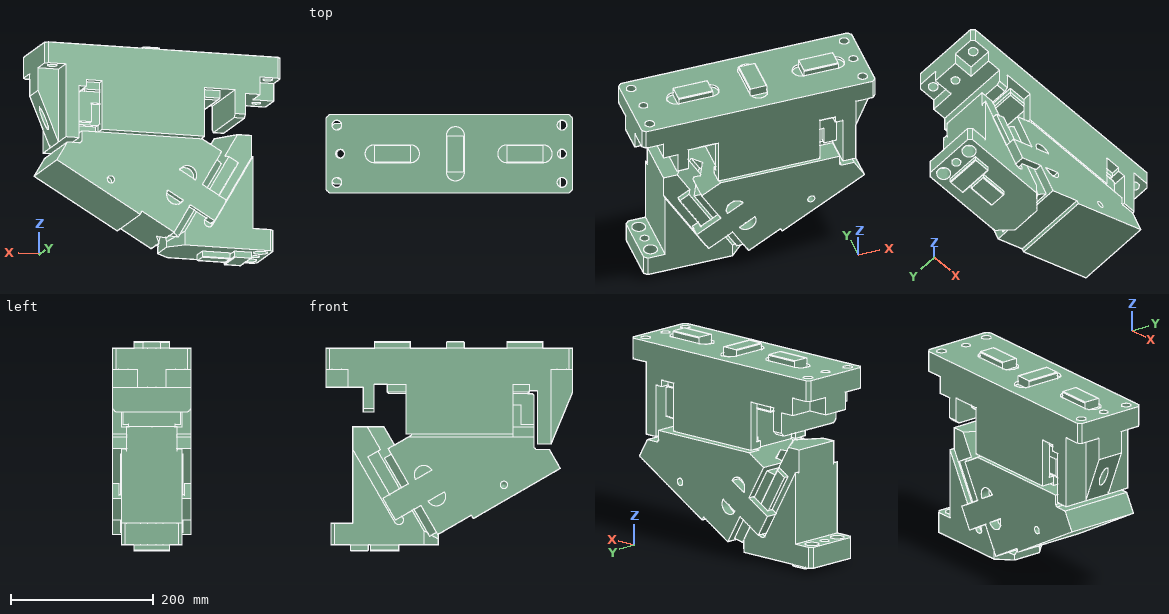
import cadquery as cq
import math


OUTER_HALF = 55.03
COLUMN_HALF = 42.5
MOUNT_Z = 275.3
SLOPE = 30.0
SIN = math.sin(math.radians(SLOPE))
COS = math.cos(math.radians(SLOPE))
TAN = math.tan(math.radians(SLOPE))

RIDGE_X = -76.5
RIDGE_Z = 139.7

KEY_LENGTH = 50.5
KEY_WIDTH = 25.2
KEY_CHAMFER = 1.0
TOP_KEY_HEIGHT = 9.0
BOTTOM_KEY_HEIGHT = 8.5
SLOT_LENGTH = 76.0
SLOT_DEPTH = 4.0
TOP_KEYS = [(-79.7, 0), (8.5, 90), (106.0, 0)]
BOTTOM_KEYS = [(-126.0, 90, KEY_LENGTH), (-90.5, 0, 40.0)]

PLATE_HALF = 172.5
PLATE_BOTTOM_Z = 245.3
PLATE_CHAMFER = 5.0
BRACKET_HALF = 20.0
BRACKET_LENGTH = 30.7
BLOCK_BOTTOM_Z = 220.0
LEFT_RIB_X = (-120.5, -105.2)
LEFT_RIB_BOTTOM_Z = 185.5
SIDE_CEILING_Z = 224.5
CORE_CEILING_Z = 215.3
CORE_X = (-87.0, 112.0)
CHEEK_X = (-60.7, 89.5)
CHEEK_BOTTOM_Z = 155.0
LIP_TOP_Z = 165.0
LIP_INNER_HALF = 35.2
RIGHT_RIB_X = (123.0, 142.5)
RIGHT_RIB_BOTTOM_Z = 140.8
GUSSET_SHOULDER_Z = 213.0
LINER_CHAMFER = 2.5
PLATE_HOLES = [
    (-157.3, 40.0, 13.5),
    (-153.0, 0, 12.0),
    (-157.3, -40.0, 13.5),
    (157.5, 40.0, 13.5),
    (157.5, 0, 12.5),
    (157.5, -40.0, 13.5),
]

DRIVER_X = (-165.5, -15.2)
COLUMN_X = -135.2
FLANGE_TOP_Z = 30.5
COLUMN_TOP_Z = 165.3
FLANGE_CHAMFER = 5.0
TOE_CHAMFER = 20.5
COLUMN_NECK_HALF = 35.2
GROOVE_N = (-53.8, -40.7)
RAIL_START = -4.0
GROOVE_END = 100.5
FLANGE_HOLES_X = -151.0
FLANGE_HOLES = [(-25.5, 19.3), (0, 12.5), (25.5, 19.3)]

LEG_N = -10.5
LEG_END = 139.0
FOOT_END = 144.5
FOOT_START_N = 43.8
TIP_N = 184.5
SHOULDER_Z = 150.8
LEDGE_Z = 133.5
LEDGE_CHAMFER = 2.8
SLIDER_RIGHT_X = 118.7
STEM_LEFT_X = -53.0
TAIL_HALF = 24.0
HEAD_BOTTOM_Z = 168.5
HEAD_TOP_Z = 211.5
HEAD_HALF = 40.0
UNDERCUT_HALF = 32.5
HEAD_CHAMFER = 2.0
HEAD_RECESS_X = (76.0, 100.5)
HEAD_RECESS_TOP_Z = 195.3
VEE_HALF = 43.5
VEE_START = 9.0
VEE_END = 135.2
RELIEF_HALF = 14.0
RELIEF_HEIGHT = 11.0
RELIEF_LENGTH = 25.0
HOOK_START = 56.5
HOOK_WIDTH = 35.2
HOOK_INNER_HALF = 45.5
TOE_INNER_HALF = 36.0
TOE_N = (-51.5, -41.5)
POCKET_N = 14.5
POCKET_RADIUS = 13.0
POCKET_DEPTH = 13.8
SIDE_HOLE = (76.5, 84.0)
SIDE_HOLE_DIAMETER = 10.5
SIDE_HOLE_DEPTH = 13.8

SPAN = 207.0


def ramp_point(n, down):
    """X and Z of a point n above the ridge line and a distance down along it."""
    return (RIDGE_X + n * COS + down * SIN, RIDGE_Z + n * SIN - down * COS)


def slab(points, y_from, y_to):
    """An X-Z outline extruded from y_from to y_to."""
    return cq.Workplane("XZ", origin=(0, y_from, 0)).polyline(points).close().extrude(y_from - y_to)


def symmetric_slab(points, half):
    return slab(points, -half, half)


def ramp_slab(n_range, down_range, y_from, y_to):
    """A block aligned with the ramp."""
    corners = [
        ramp_point(n_range[0], down_range[0]),
        ramp_point(n_range[1], down_range[0]),
        ramp_point(n_range[1], down_range[1]),
        ramp_point(n_range[0], down_range[1]),
    ]
    return slab(corners, y_from, y_to)


def box(x_range, y_range, z_range):
    size = [r[1] - r[0] for r in (x_range, y_range, z_range)]
    return cq.Workplane("XY").box(*size, centered=False).translate((x_range[0], y_range[0], z_range[0]))


def ramp_prism(section, down_from, down_to):
    """A (y, n) section swept along the ramp."""
    x, z = ramp_point(0, down_to)
    plane = cq.Plane(origin=(x, 0, z), xDir=(0, -1, 0), normal=(-SIN, 0, COS))
    return cq.Workplane(plane).polyline(section).close().extrude(down_to - down_from)


def on_both_sides(shape):
    return shape.union(shape.mirror("XZ"))


def locating_key(x, turn, length, z_from, height, outer_face):
    key = cq.Workplane("XY").box(length, KEY_WIDTH, height, centered=(True, True, False))
    key = key.faces(outer_face).edges("|X").chamfer(KEY_CHAMFER)
    return key.rotate((0, 0, 0), (0, 0, 1), turn).translate((x, 0, z_from))


def make_holder():
    plate = box((-PLATE_HALF, PLATE_HALF), (-OUTER_HALF, OUTER_HALF), (PLATE_BOTTOM_Z, MOUNT_Z))
    holder = plate.edges("|Z").chamfer(PLATE_CHAMFER)

    bracket_x = -PLATE_HALF + BRACKET_LENGTH
    body = [
        (bracket_x, PLATE_BOTTOM_Z),
        (bracket_x, BLOCK_BOTTOM_Z),
        (LEFT_RIB_X[1], BLOCK_BOTTOM_Z),
        (LEFT_RIB_X[1], SIDE_CEILING_Z),
        (CORE_X[1], SIDE_CEILING_Z),
        (CORE_X[1], CORE_CEILING_Z),
        (RIGHT_RIB_X[0], CORE_CEILING_Z),
        (RIGHT_RIB_X[0], RIGHT_RIB_BOTTOM_Z),
        (RIGHT_RIB_X[1], RIGHT_RIB_BOTTOM_Z),
        (RIGHT_RIB_X[1], PLATE_BOTTOM_Z),
    ]
    holder = holder.union(symmetric_slab(body, OUTER_HALF))

    rib = box(LEFT_RIB_X, (-OUTER_HALF, OUTER_HALF), (LEFT_RIB_BOTTOM_Z, PLATE_BOTTOM_Z))
    holder = holder.union(rib.faces("<Z").edges("|X").chamfer(PLATE_CHAMFER))

    bracket = box((-PLATE_HALF, bracket_x), (-BRACKET_HALF, BRACKET_HALF), (BLOCK_BOTTOM_Z, PLATE_BOTTOM_Z))
    gusset = [
        (RIGHT_RIB_X[1], PLATE_BOTTOM_Z),
        (PLATE_HALF, PLATE_BOTTOM_Z),
        (PLATE_HALF, GUSSET_SHOULDER_Z),
        (RIGHT_RIB_X[1], RIGHT_RIB_BOTTOM_Z),
    ]
    holder = holder.union(bracket).union(symmetric_slab(gusset, BRACKET_HALF))

    lip = box(CHEEK_X, (-COLUMN_HALF, -LIP_INNER_HALF), (CHEEK_BOTTOM_Z, LIP_TOP_Z))
    cheek = box(CHEEK_X, (-OUTER_HALF, -COLUMN_HALF), (CHEEK_BOTTOM_Z, PLATE_BOTTOM_Z))
    holder = holder.union(on_both_sides(cheek.union(lip)))

    core = box(CORE_X, (-COLUMN_HALF, COLUMN_HALF), (HEAD_TOP_Z, PLATE_BOTTOM_Z))
    holder = holder.union(core.faces("<Z").edges().chamfer(LINER_CHAMFER))

    for x, y, diameter in PLATE_HOLES:
        drill = cq.Workplane("XY").center(x, y).circle(diameter / 2).extrude(MOUNT_Z)
        holder = holder.cut(drill)

    for x, turn in TOP_KEYS:
        floor_z = MOUNT_Z - SLOT_DEPTH
        slot = cq.Workplane("XY").slot2D(SLOT_LENGTH, KEY_WIDTH, turn).extrude(SLOT_DEPTH)
        key = locating_key(x, turn, KEY_LENGTH, floor_z, SLOT_DEPTH + TOP_KEY_HEIGHT, ">Z")
        holder = holder.cut(slot.translate((x, 0, floor_z))).union(key)
    return holder


def make_driver():
    flange = box(DRIVER_X, (-COLUMN_HALF, COLUMN_HALF), (0, FLANGE_TOP_Z))
    flange = flange.edges("|Z and <X").chamfer(FLANGE_CHAMFER)
    column = box((COLUMN_X, DRIVER_X[1]), (-COLUMN_HALF, COLUMN_HALF), (0, COLUMN_TOP_Z))
    driver = flange.union(column)
    driver = driver.edges("|Z and >X").chamfer(TOE_CHAMFER)

    above_roof = [
        (0, 0),
        (SPAN, -SPAN * TAN),
        (SPAN, SPAN),
        (-SPAN, SPAN),
        (-SPAN, -SPAN * TAN),
    ]
    driver = driver.cut(ramp_prism(above_roof, -SPAN, SPAN))

    relief = ramp_slab((GROOVE_N[0], SPAN), (-SPAN, RAIL_START), COLUMN_NECK_HALF, OUTER_HALF)
    groove_radius = (GROOVE_N[1] - GROOVE_N[0]) / 2
    groove_centre_n = GROOVE_N[0] + groove_radius
    groove_round = GROOVE_END - groove_radius
    groove = ramp_slab(GROOVE_N, (RAIL_START, groove_round), COLUMN_NECK_HALF, OUTER_HALF)
    x, z = ramp_point(groove_centre_n, groove_round)
    groove_tip = cq.Workplane("XZ", origin=(x, OUTER_HALF, z)).circle(groove_radius)
    groove_tip = groove_tip.extrude(OUTER_HALF - COLUMN_NECK_HALF)
    driver = driver.cut(on_both_sides(relief.union(groove).union(groove_tip)))

    for y, diameter in FLANGE_HOLES:
        drill = cq.Workplane("XY").center(FLANGE_HOLES_X, y).circle(diameter / 2).extrude(FLANGE_TOP_Z)
        driver = driver.cut(drill)

    for x, turn, length in BOTTOM_KEYS:
        driver = driver.union(locating_key(x, turn, length, -BOTTOM_KEY_HEIGHT, BOTTOM_KEY_HEIGHT, "<Z"))
    return driver


def upper_end_x(z):
    """X of the slider's inclined upper end at height z."""
    return RIDGE_X + (z - RIDGE_Z) / TAN


def make_slider():
    end_x, end_z = ramp_point(TIP_N, 0)
    tip_x = end_x + (end_z - LEDGE_Z) * TAN
    body = [
        ramp_point(LEG_N, 0),
        (upper_end_x(SHOULDER_Z), SHOULDER_Z),
        (SLIDER_RIGHT_X, SHOULDER_Z),
        (SLIDER_RIGHT_X, LEDGE_Z + LEDGE_CHAMFER),
        (SLIDER_RIGHT_X + LEDGE_CHAMFER, LEDGE_Z),
        (tip_x, LEDGE_Z),
        ramp_point(TIP_N, FOOT_END),
        ramp_point(FOOT_START_N, FOOT_END),
        ramp_point(FOOT_START_N, LEG_END),
        ramp_point(LEG_N, LEG_END),
    ]
    slider = symmetric_slab(body, OUTER_HALF)

    stem = [
        (upper_end_x(SHOULDER_Z), SHOULDER_Z),
        (STEM_LEFT_X, RIDGE_Z + (STEM_LEFT_X - RIDGE_X) * TAN),
        (STEM_LEFT_X, LIP_TOP_Z),
        (CHEEK_X[1], LIP_TOP_Z),
        (CHEEK_X[1], SHOULDER_Z),
    ]
    tail = box((CHEEK_X[1], SLIDER_RIGHT_X), (-TAIL_HALF, TAIL_HALF), (SHOULDER_Z, LIP_TOP_Z))
    slider = slider.union(symmetric_slab(stem, LIP_INNER_HALF)).union(tail)

    head_x = (STEM_LEFT_X, SLIDER_RIGHT_X)
    undercut = box(head_x, (-UNDERCUT_HALF, UNDERCUT_HALF), (LIP_TOP_Z, HEAD_BOTTOM_Z))
    head = box(head_x, (-HEAD_HALF, HEAD_HALF), (HEAD_BOTTOM_Z, HEAD_TOP_Z))
    head = head.edges(">X and >Z").chamfer(HEAD_CHAMFER)
    recess = box(HEAD_RECESS_X, (UNDERCUT_HALF, HEAD_HALF), (HEAD_BOTTOM_Z, HEAD_RECESS_TOP_Z))
    head = head.cut(on_both_sides(recess))
    slider = slider.union(undercut).union(head)

    roof_gap = (LEG_N + VEE_HALF * TAN) * COS
    foot = (VEE_HALF - roof_gap * SIN, LEG_N - roof_gap * COS)
    bearing = [
        (VEE_HALF, LEG_N),
        foot,
        (-foot[0], foot[1]),
        (-VEE_HALF, LEG_N),
    ]
    slider = slider.union(ramp_prism(bearing, VEE_START, VEE_END))
    roof = [
        (0, 0),
        (OUTER_HALF, -OUTER_HALF * TAN),
        (-OUTER_HALF, -OUTER_HALF * TAN),
    ]
    slider = slider.cut(ramp_prism(roof, -SPAN, SPAN))

    side = (RELIEF_HALF, -RELIEF_HALF * TAN)
    shoulder = (side[0] + RELIEF_HEIGHT * SIN, side[1] + RELIEF_HEIGHT * COS)
    relief = [
        (0, 0),
        side,
        shoulder,
        (0, RELIEF_HEIGHT / COS),
        (-shoulder[0], shoulder[1]),
        (-side[0], side[1]),
    ]
    slider = slider.cut(ramp_prism(relief, -RELIEF_LENGTH, RELIEF_LENGTH))

    hook_span = (HOOK_START, HOOK_START + HOOK_WIDTH)
    arm = ramp_slab((TOE_N[0], LEG_N), hook_span, HOOK_INNER_HALF, OUTER_HALF)
    toe = ramp_slab(TOE_N, hook_span, TOE_INNER_HALF, OUTER_HALF)
    slider = slider.union(on_both_sides(arm.union(toe)))

    keep = ramp_slab((-SPAN, SPAN), hook_span, 0, OUTER_HALF)
    for side_down in hook_span:
        x, z = ramp_point(POCKET_N, side_down)
        disc = cq.Workplane("XZ", origin=(x, OUTER_HALF, z)).circle(POCKET_RADIUS).extrude(POCKET_DEPTH)
        slider = slider.cut(on_both_sides(disc.cut(keep)))

    x, z = SIDE_HOLE
    radius = SIDE_HOLE_DIAMETER / 2
    drill = [
        (0, 0),
        (radius, 0),
        (radius, SIDE_HOLE_DEPTH),
        (0, SIDE_HOLE_DEPTH + radius * TAN),
    ]
    side_hole = cq.Workplane("XY", origin=(x, -OUTER_HALF, z)).polyline(drill).close()
    side_hole = side_hole.revolve(360, (0, 0), (0, 1))
    return slider.cut(on_both_sides(side_hole))


holder = make_holder()
driver = make_driver()
slider = make_slider()

result = cq.Compound.makeCompound([*holder.solids().vals(), *driver.solids().vals(), *slider.solids().vals()])